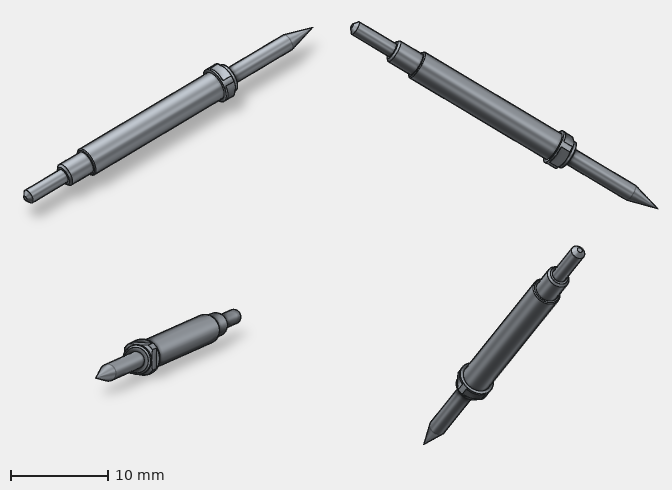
import cadquery as cq

total_length = 38.0

needle_diameter = 1.8
barrel_diameter = 3.08
flange_diameter = 3.75
step_diameter = 2.47
tail_diameter = 1.52
tail_end_diameter = 0.57

needle_radius = needle_diameter / 2
barrel_radius = barrel_diameter / 2
flange_radius = flange_diameter / 2
step_radius = step_diameter / 2
tail_radius = tail_diameter / 2
tail_end_radius = tail_end_diameter / 2

needle_cone_length = 3.35
needle_shank_length = 7.7
collar_length = 1.67
flange_thickness = 0.23
barrel_length = 17.05
step_length = 2.95

collar_lead_length = 0.4
collar_nose_length = 0.1
collar_nose_inset = 0.21
collar_bevel_length = 0.2
collar_width = barrel_diameter

barrel_bevel = 0.1
step_bevel = 0.23
tail_bevel_length = 0.4

tip_y = total_length
needle_base_y = tip_y - needle_cone_length
collar_front_y = needle_base_y - needle_shank_length
corner_front_y = collar_front_y - collar_lead_length
flange_front_y = collar_front_y - collar_length
flange_rear_y = flange_front_y - flange_thickness
barrel_rear_y = flange_rear_y - barrel_length
step_rear_y = barrel_rear_y - step_length


def turn(profile):
    """Revolve a list of (radius, y) points about the Y axis."""
    return cq.Workplane("XY").polyline(profile).close().revolve(360, (0, 0), (0, 1))


def make_pin():
    """Needle, round collar nose, flange, barrel, step and tail in one turning."""
    return turn([
        (0, tip_y),
        (needle_radius, needle_base_y),
        (needle_radius, collar_front_y),
        (barrel_radius - collar_nose_inset, collar_front_y),
        (barrel_radius, collar_front_y - collar_nose_length),
        (barrel_radius, flange_front_y),
        (flange_radius, flange_front_y),
        (flange_radius, flange_rear_y),
        (barrel_radius, flange_rear_y),
        (barrel_radius, barrel_rear_y + barrel_bevel),
        (barrel_radius - barrel_bevel, barrel_rear_y),
        (step_radius, barrel_rear_y),
        (step_radius, step_rear_y + step_bevel),
        (step_radius - step_bevel, step_rear_y),
        (tail_radius, step_rear_y),
        (tail_radius, tail_bevel_length),
        (tail_end_radius, 0),
        (0, 0),
    ])


def make_collar_corners():
    """Disc with a conical front, cut to four flats tangent to the barrel."""
    disc = turn([
        (0, corner_front_y),
        (barrel_radius, corner_front_y),
        (flange_radius, corner_front_y - collar_bevel_length),
        (flange_radius, flange_front_y),
        (0, flange_front_y),
    ])
    square = cq.Workplane("XY").box(collar_width, collar_length, collar_width)
    square = square.translate((0, flange_front_y + collar_length / 2, 0))
    return disc.intersect(square)


result = make_pin().union(make_collar_corners())